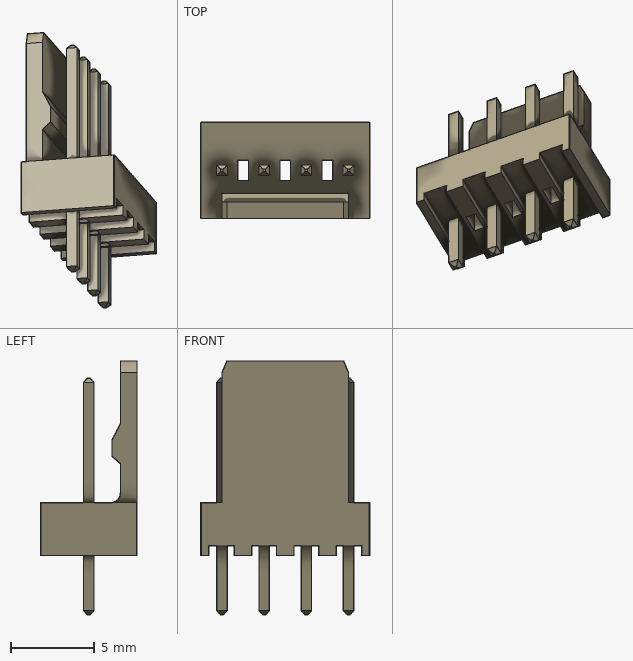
import cadquery as cq

width = 10.16
depth = 5.8
height = 15.26

base_bottom = 3.55
base_top = 6.75
corner_bevel = 0.05

pin_count = 4
pin_pitch = 2.53
pin_side = 0.64
pin_top = 14.22
pin_taper_height = 0.26
pin_tip_side = 0.15

foot_height = 0.6
inner_foot_width = 1.07
outer_foot_width = 0.5

slot_width = 0.63
slot_length = 1.19

wall_width = (pin_count - 1) * pin_pitch
wall_thickness = 1.0
wall_corner_width = 0.29
wall_corner_height = 0.7
root_radius = 0.58

bump_depth = 0.5
bump_foot_low = 9.08
bump_crest_low = 9.52
bump_crest_high = 10.5
bump_foot_high = 11.48

front_y = -depth / 2
pin_positions = [(i - (pin_count - 1) / 2) * pin_pitch for i in range(pin_count)]
gap_positions = [x + pin_pitch / 2 for x in pin_positions[:-1]]


def make_base():
    """Block with bevelled upright corners, slots and notched underside."""
    base = (
        cq.Workplane("XY", origin=(0, 0, base_bottom))
        .rect(width, depth)
        .extrude(base_top - base_bottom)
        .edges("|Z")
        .chamfer(corner_bevel)
    )
    slots = (
        cq.Workplane("XY", origin=(0, 0, base_bottom))
        .pushPoints([(x, 0) for x in gap_positions])
        .rect(slot_width, slot_length)
        .extrude(base_top - base_bottom)
    )
    base = base.cut(slots)

    half_foot = inner_foot_width / 2
    outer_edge = width / 2 - outer_foot_width
    notch_starts = [-outer_edge] + [x + half_foot for x in gap_positions]
    notch_ends = [x - half_foot for x in gap_positions] + [outer_edge]
    for start, end in zip(notch_starts, notch_ends):
        notch = cq.Workplane("XY").box(end - start, depth, foot_height, centered=(False, True, False))
        base = base.cut(notch.translate((start, 0, base_bottom)))
    return base


def make_wall():
    """Latch wall with a rounded root, an inner bump and sloped top corners."""
    inner_y = front_y + wall_thickness
    crest_y = inner_y + bump_depth
    wall = (
        cq.Workplane("YZ", origin=(-wall_width / 2, 0, 0))
        .moveTo(front_y, base_top)
        .lineTo(inner_y + root_radius, base_top)
        .radiusArc((inner_y, base_top + root_radius), root_radius)
        .lineTo(inner_y, bump_foot_low)
        .lineTo(crest_y, bump_crest_low)
        .lineTo(crest_y, bump_crest_high)
        .lineTo(inner_y, bump_foot_high)
        .lineTo(inner_y, height)
        .lineTo(front_y, height)
        .close()
        .extrude(wall_width)
    )
    corner = (
        cq.Workplane("XZ", origin=(0, front_y, 0))
        .moveTo(wall_width / 2, height - wall_corner_height)
        .lineTo(wall_width / 2, height)
        .lineTo(wall_width / 2 - wall_corner_width, height)
        .close()
        .extrude(-wall_thickness)
    )
    return wall.cut(corner).cut(corner.mirror("YZ"))


def make_pin(x):
    """Square pin with a blunt pyramid at each end."""
    shaft_low = pin_taper_height
    shaft_high = pin_top - pin_taper_height
    shaft = cq.Workplane("XY", origin=(x, 0, shaft_low)).rect(pin_side, pin_side).extrude(shaft_high - shaft_low)
    upper_tip = (
        cq.Workplane("XY", origin=(x, 0, shaft_high))
        .rect(pin_side, pin_side)
        .workplane(offset=pin_taper_height)
        .rect(pin_tip_side, pin_tip_side)
        .loft(ruled=True)
    )
    lower_tip = upper_tip.mirror("XY", (0, 0, pin_top / 2))
    return shaft.union(upper_tip).union(lower_tip)


result = make_base().union(make_wall())
for pin_x in pin_positions:
    result = result.union(make_pin(pin_x))